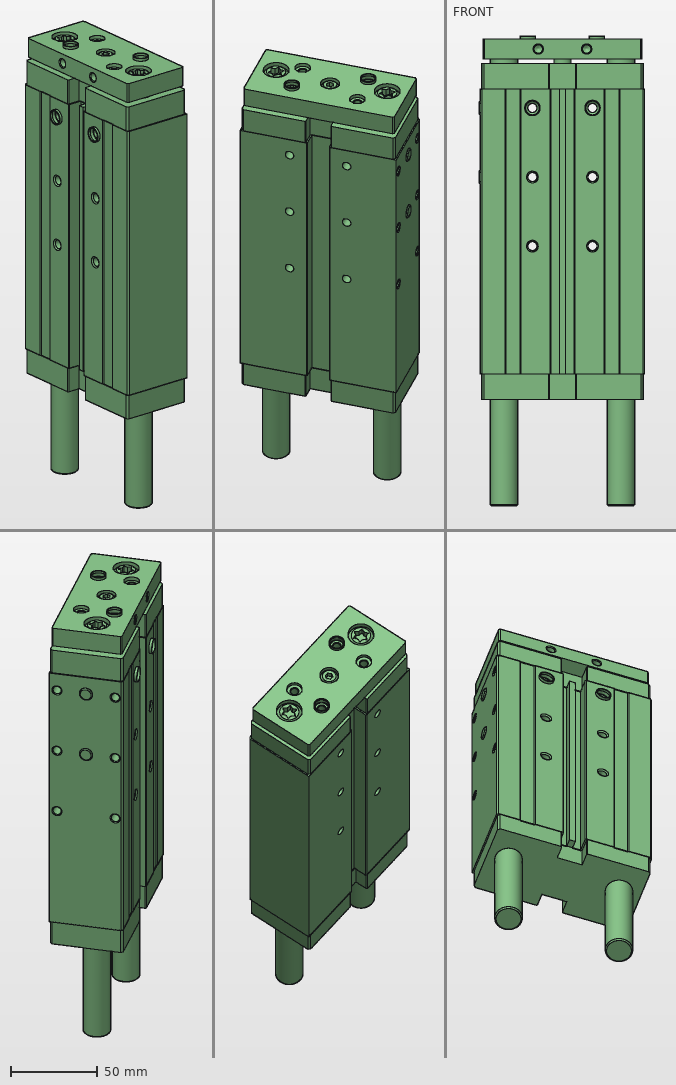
import cadquery as cq
import math


total_height = 272.8
sleeve_projection = 1.6
plate_top = total_height - sleeve_projection
plate_thickness = 11.7
plate_bottom = plate_top - plate_thickness
plate_gap = 2.5
housing_top = plate_bottom - plate_gap
end_height = 15.0
profile_top = housing_top - end_height
profile_length = 165.3
profile_bottom = profile_top - profile_length
housing_bottom = profile_bottom - end_height

profile_width = 95.5
profile_back = 22.0
profile_front = -22.0
end_width = 93.8
end_depth = 43.6
end_corner_chamfer = 1.23
profile_corner_chamfer = 1.0
channel_width = 14.5
end_channel_width = 16.5
channel_depth = 9.0
end_channel_depth = 8.2
channel_edge_chamfer = 0.5
rib_width = 3.5
rib_depth = 3.8
groove_offset = 28.78
groove_floor_width = 8.2
groove_mouth_width = 9.3
groove_depth = 0.8

plate_width = 92.2
plate_depth = 42.0
plate_corner_chamfer = 0.8
plate_front_hole_pitch = 28.0
plate_front_hole_depth = 9.5

rod_pitch = 68.0
rod_y = -3.0
rod_diameter = 16.0
rod_end_diameter = 15.0
rod_end_recess = 1.0
rod_end_chamfer = 2.0
rod_foot_chamfer = 0.8
lobe_tip_radius = 4.6
lobe_root_radius = 3.0
lobe_count = 6
lobe_socket_depth = 4.0

piston_rod_diameter = 10.0
screw_head_diameter = 10.0
screw_head_height = 6.0
screw_head_chamfer = 1.0
screw_shank_diameter = 6.0
screw_thread_engagement = 11.0
screw_socket_width = 3.8
screw_socket_depth = 3.0
counterbore_diameter = 11.0
counterbore_depth = 6.8

sleeve_diameter = 9.0
sleeve_bore = 8.0
sleeve_seat_depth = 2.2
sleeve_length = sleeve_seat_depth + sleeve_projection
plate_hole_pitch_x = 40.0
plate_hole_pitch_y = 20.0
plate_hole_diameter = 4.5
plate_hole_chamfer = 0.4

mount_hole_diameter = 5.2
mount_hole_chamfer = 0.8
seat_hole_chamfer = 1.5
mount_hole_pitch = 35.0
row_pitch = 40.0
first_row_z = profile_top - 11.0
row_levels = [first_row_z - i * row_pitch for i in range(3)]
side_hole_pitch = 35.0
side_hole_diameter = 5.0
side_hole_chamfer = 0.5
side_hole_depth = 8.2
drill_point_angle = math.radians(118)
port_boss_diameter = 8.0
port_boss_height = 0.8
port_boss_chamfer = 0.68

BACK = cq.Vector(0, 1, 0)
RIGHT = cq.Vector(1, 0, 0)
DOWN = cq.Vector(0, 0, -1)
UP = cq.Vector(0, 0, 1)


def block(width, y_min, y_max, z_min, z_max):
    """Box centred on X = 0."""
    return cq.Workplane("XY").box(width, y_max - y_min, z_max - z_min).translate(
        (0, (y_min + y_max) / 2, (z_min + z_max) / 2)
    )


def cylinder(diameter, length, start, direction):
    return cq.Workplane(cq.Solid.makeCylinder(diameter / 2, length, cq.Vector(*start), direction))


def countersink(diameter, chamfer, start, direction):
    cone = cq.Solid.makeCone(diameter / 2 + chamfer, diameter / 2, chamfer, cq.Vector(*start), direction)
    return cq.Workplane(cone)


def drilled_hole(diameter, chamfer, depth, start, direction):
    """Blind drilling with a countersunk mouth and a conical drill point."""
    point_height = diameter / 2 / math.tan(drill_point_angle / 2)
    tip_start = cq.Vector(*start) + direction * depth
    point = cq.Workplane(cq.Solid.makeCone(diameter / 2, 0, point_height, tip_start, direction))
    hole = cylinder(diameter, depth, start, direction).union(point)
    return hole.union(countersink(diameter, chamfer, start, direction))


def channel(mouth_width, depth, face_y, z_min, z_max):
    """Upright channel cut into the face at Y = face_y, with chamfered mouth edges."""
    inward = -math.copysign(1, face_y)
    half_mouth = mouth_width / 2
    half_floor = half_mouth - channel_edge_chamfer
    shoulder_y = face_y + inward * channel_edge_chamfer
    floor_y = face_y + inward * depth
    return (
        cq.Workplane("XY", origin=(0, 0, z_min))
        .polyline(
            [
                (-half_mouth, face_y),
                (-half_floor, shoulder_y),
                (-half_floor, floor_y),
                (half_floor, floor_y),
                (half_floor, shoulder_y),
                (half_mouth, face_y),
            ]
        )
        .close()
        .extrude(z_max - z_min)
    )


def housing_profile():
    body = block(profile_width, profile_front, profile_back, profile_bottom, profile_top)
    body = body.edges("|Z and <Y").chamfer(profile_corner_chamfer)

    rib_front = profile_front + rib_depth
    channel_floor = profile_front + channel_depth
    rib = block(rib_width, rib_front, channel_floor, profile_bottom, profile_top)
    for face_y in (profile_front, profile_back):
        body = body.cut(channel(channel_width, channel_depth, face_y, profile_bottom, profile_top))
    body = body.union(rib)

    groove_floor = profile_front + groove_depth
    for side in (-1, 1):
        x = side * groove_offset
        groove = (
            cq.Workplane("XY", origin=(x, 0, profile_bottom))
            .moveTo(-groove_mouth_width / 2, profile_front)
            .lineTo(groove_mouth_width / 2, profile_front)
            .lineTo(groove_floor_width / 2, groove_floor)
            .lineTo(-groove_floor_width / 2, groove_floor)
            .close()
            .extrude(profile_length)
        )
        body = body.cut(groove)
    return body


def housing_end(z_min):
    z_max = z_min + end_height
    half_depth = end_depth / 2
    end = block(end_width, -half_depth, half_depth, z_min, z_max)
    end = end.edges("|Z").chamfer(end_corner_chamfer)
    for face_y in (-half_depth, half_depth):
        end = end.cut(channel(end_channel_width, end_channel_depth, face_y, z_min, z_max))
    return end


def cut_front_holes(body):
    through_length = profile_back - profile_front
    for x in (-mount_hole_pitch / 2, mount_hole_pitch / 2):
        for z in row_levels:
            start = (x, profile_front, z)
            body = body.cut(cylinder(mount_hole_diameter, through_length, start, BACK))
            if z == first_row_z:
                body = body.cut(cylinder(sleeve_diameter, sleeve_seat_depth, start, BACK))
                seat_floor = (x, profile_front + sleeve_seat_depth, z)
                body = body.cut(countersink(mount_hole_diameter, seat_hole_chamfer, seat_floor, BACK))
            else:
                body = body.cut(countersink(mount_hole_diameter, mount_hole_chamfer, start, BACK))
    return body


def cut_side_holes(body):
    for y in (-side_hole_pitch / 2, side_hole_pitch / 2):
        for z in row_levels:
            start = (-profile_width / 2, y, z)
            body = body.cut(
                drilled_hole(side_hole_diameter, side_hole_chamfer, side_hole_depth, start, RIGHT)
            )
    return body


def add_port_bosses(body):
    for z in row_levels[:2]:
        start = (-profile_width / 2, 0, z)
        boss = cylinder(port_boss_diameter, port_boss_height, start, -RIGHT)
        body = body.union(boss.faces("<X").chamfer(port_boss_chamfer))
    return body


def make_housing():
    body = housing_profile().union(housing_end(profile_top)).union(housing_end(housing_bottom))
    body = cut_front_holes(body)
    body = cut_side_holes(body)
    body = add_port_bosses(body)
    rod_bore_length = housing_top - housing_bottom
    for x in (-rod_pitch / 2, rod_pitch / 2):
        body = body.cut(cylinder(rod_diameter, rod_bore_length, (x, rod_y, housing_bottom), UP))
    piston_bore_length = housing_top - profile_bottom
    return body.cut(cylinder(piston_rod_diameter, piston_bore_length, (0, 0, profile_bottom), UP))


def make_plate():
    plate = block(plate_width, -plate_depth / 2, plate_depth / 2, plate_bottom, plate_top)
    plate = plate.edges("|Z").chamfer(plate_corner_chamfer)

    for x in (-rod_pitch / 2, rod_pitch / 2):
        plate = plate.cut(cylinder(rod_end_diameter, plate_thickness, (x, rod_y, plate_bottom), UP))

    for x in (-plate_hole_pitch_x / 2, plate_hole_pitch_x / 2):
        for y in (-plate_hole_pitch_y / 2, plate_hole_pitch_y / 2):
            seat_floor = (x, y, plate_top - sleeve_seat_depth)
            plate = plate.cut(cylinder(sleeve_diameter, sleeve_seat_depth, (x, y, plate_top), DOWN))
            plate = plate.cut(cylinder(plate_hole_diameter, plate_thickness, (x, y, plate_top), DOWN))
            plate = plate.cut(countersink(plate_hole_diameter, plate_hole_chamfer, seat_floor, DOWN))

    plate = plate.cut(cylinder(counterbore_diameter, counterbore_depth, (0, 0, plate_top), DOWN))
    plate = plate.cut(cylinder(screw_shank_diameter, plate_thickness, (0, 0, plate_top), DOWN))

    hole_z = plate_bottom + plate_thickness / 2
    for x in (-plate_front_hole_pitch / 2, plate_front_hole_pitch / 2):
        start = (x, -plate_depth / 2, hole_z)
        plate = plate.cut(
            drilled_hole(side_hole_diameter, side_hole_chamfer, plate_front_hole_depth, start, BACK)
        )
    return plate


def make_guide_rod(x):
    rod = cylinder(rod_diameter, plate_bottom, (x, rod_y, 0), UP)
    rod = rod.faces("<Z").chamfer(rod_foot_chamfer)
    end_length = plate_thickness - rod_end_recess
    end = cylinder(rod_end_diameter, end_length, (x, rod_y, plate_bottom), UP)
    end = end.faces(">Z").chamfer(rod_end_chamfer)

    star_points = []
    for i in range(2 * lobe_count):
        radius = lobe_tip_radius if i % 2 == 0 else lobe_root_radius
        angle = math.pi / 2 + i * math.pi / lobe_count
        star_points.append((radius * math.cos(angle), radius * math.sin(angle)))
    socket = (
        cq.Workplane("XY", origin=(x, rod_y, plate_top - rod_end_recess))
        .polyline(star_points)
        .close()
        .extrude(-lobe_socket_depth)
    )
    return rod.union(end).cut(socket)


def make_piston_rod():
    length = plate_bottom - profile_bottom
    rod = cylinder(piston_rod_diameter, length, (0, 0, profile_bottom), UP)
    return rod.cut(cylinder(screw_shank_diameter, screw_thread_engagement, (0, 0, plate_bottom), DOWN))


def make_piston_screw():
    seat_z = plate_top - counterbore_depth
    head = cylinder(screw_head_diameter, screw_head_height, (0, 0, seat_z), UP)
    head = head.faces(">Z").chamfer(screw_head_chamfer)
    shank_length = seat_z - plate_bottom + screw_thread_engagement
    shank = cylinder(screw_shank_diameter, shank_length, (0, 0, seat_z), DOWN)
    across_corners = screw_socket_width / math.cos(math.pi / 6)
    socket = (
        cq.Workplane("XY", origin=(0, 0, seat_z + screw_head_height))
        .polygon(6, across_corners)
        .extrude(-screw_socket_depth)
    )
    return head.union(shank).cut(socket)


def make_sleeve(seat_floor, direction):
    tube = cylinder(sleeve_diameter, sleeve_length, seat_floor, direction)
    return tube.cut(cylinder(sleeve_bore, sleeve_length, seat_floor, direction))


housing = make_housing()
plate = make_plate()
guide_rods = [make_guide_rod(side * rod_pitch / 2) for side in (-1, 1)]
piston_rod = make_piston_rod()
piston_screw = make_piston_screw()

sleeves = []
for side in (-1, 1):
    plate_seat = (
        side * plate_hole_pitch_x / 2,
        side * plate_hole_pitch_y / 2,
        plate_top - sleeve_seat_depth,
    )
    sleeves.append(make_sleeve(plate_seat, UP))
    front_seat = (side * mount_hole_pitch / 2, profile_front + sleeve_seat_depth, first_row_z)
    sleeves.append(make_sleeve(front_seat, -BACK))

result = cq.Compound.makeCompound(
    [
        housing.val(),
        plate.val(),
        *[rod.val() for rod in guide_rods],
        piston_rod.val(),
        piston_screw.val(),
        *[sleeve.val() for sleeve in sleeves],
    ]
)